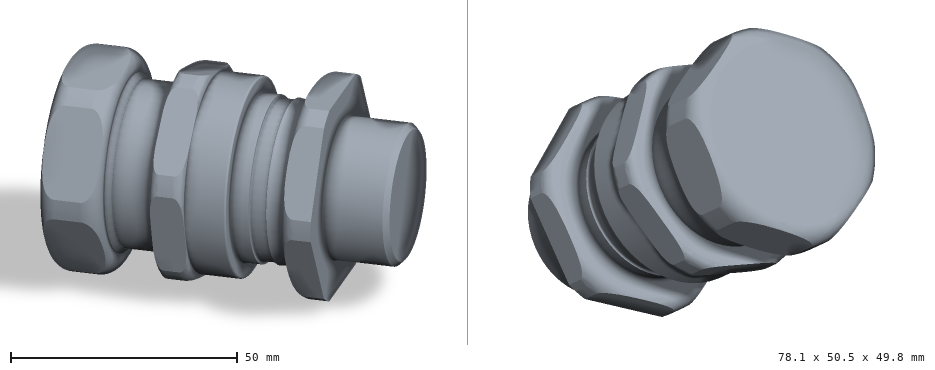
import cadquery as cq


ACROSS_FLATS = 46.0
CORNER_RADIUS = 50.5 / 2
CAP_HEX_TURN = -25.8
BODY_HEX_TURN = 15.0
ENTRY_HEX_TURN = 30.0

CAP_HEX_LENGTH = 14.1
CAP_ROUNDING = 4.05
CAP_COLLAR_RADIUS = 20.1
CAP_COLLAR_LENGTH = 0.15
CAP_CONE_LENGTH = 1.25
CAP_LIP_RADIUS = 19.0
CAP_LIP_LENGTH = 0.15
CAP_WALL = 4.7
CAP_CONE_START = CAP_HEX_LENGTH + CAP_COLLAR_LENGTH
CAP_END = CAP_CONE_START + CAP_CONE_LENGTH + CAP_LIP_LENGTH

NECK_RADIUS = 37.7 / 2
BODY_HEX_START = 25.6
BODY_HEX_END = 33.25
BODY_ROUNDING = 2.1
FLANGE_RADIUS = 45.2 / 2
FLANGE_END = 42.7
EDGE_ROUNDING = 0.5
COLLAR_RADIUS = 37.8 / 2
COLLAR_END = 46.7
ROOT_FILLET = 0.4

SHOULDER_END = 46.9
GROOVE_RADIUS = 36.2 / 2
GROOVE_END = 50.9
CONE_BIG_RADIUS = 18.65
CONE_SMALL_RADIUS = 35.9 / 2
CONE_END = 54.95
CONE_ROOT_FILLET = 0.85
ENTRY_HEX_START = CONE_END + CONE_ROOT_FILLET
ENTRY_HEX_END = 63.0
ENTRY_ROUNDING = 3.05
THREAD_RADIUS = 32.0 / 2
THREAD_CHAMFER = 1.25
LENGTH = 78.05


def rod(start, end, radius):
    """Solid cylinder along X."""
    return cq.Workplane("YZ").workplane(offset=start).circle(radius).extrude(end - start)


def turned(outline):
    """Revolve a closed outline, drawn as X against radius, about the X axis."""
    return outline.close().revolve(360, (0, 0, 0), (1, 0, 0))


def hexagon(start, end, turn, rounded_ends, rounding):
    """Hexagon along X whose corners are cut by a cylinder with rounded rims."""
    blank = rod(start, end, CORNER_RADIUS).faces(rounded_ends).edges().fillet(rounding)
    prism = (
        cq.Workplane("YZ")
        .workplane(offset=start)
        .polygon(6, ACROSS_FLATS, circumscribed=True)
        .extrude(end - start)
        .rotate((0, 0, 0), (1, 0, 0), turn)
    )
    return blank.intersect(prism)


def make_cap_nut():
    hexagonal = hexagon(0, CAP_HEX_LENGTH, CAP_HEX_TURN, "<X or >X", CAP_ROUNDING)
    cone = turned(
        cq.Workplane("XY")
        .moveTo(CAP_WALL, 0)
        .lineTo(CAP_WALL, CAP_COLLAR_RADIUS)
        .lineTo(CAP_CONE_START, CAP_COLLAR_RADIUS)
        .lineTo(CAP_CONE_START + CAP_CONE_LENGTH, CAP_LIP_RADIUS)
        .lineTo(CAP_END, CAP_LIP_RADIUS)
        .lineTo(CAP_END, 0)
    )
    return hexagonal.union(cone).cut(rod(CAP_WALL, CAP_END, NECK_RADIUS))


def make_gland_body():
    neck = rod(CAP_WALL, BODY_HEX_START, NECK_RADIUS)
    hexagonal = hexagon(BODY_HEX_START, BODY_HEX_END, BODY_HEX_TURN, "<X or >X", BODY_ROUNDING)
    flange = rod(BODY_HEX_END, FLANGE_END, FLANGE_RADIUS).faces(">X").edges().fillet(EDGE_ROUNDING)
    collar = turned(
        cq.Workplane("XY")
        .moveTo(FLANGE_END, 0)
        .lineTo(FLANGE_END, COLLAR_RADIUS + ROOT_FILLET)
        .radiusArc((FLANGE_END + ROOT_FILLET, COLLAR_RADIUS), -ROOT_FILLET)
        .lineTo(COLLAR_END, COLLAR_RADIUS)
        .lineTo(COLLAR_END, 0)
    )
    return neck.union(hexagonal).union(flange).union(collar)


def make_entry():
    grooved_cone = turned(
        cq.Workplane("XY")
        .moveTo(COLLAR_END, 0)
        .lineTo(COLLAR_END, COLLAR_RADIUS)
        .lineTo(SHOULDER_END, COLLAR_RADIUS)
        .lineTo(SHOULDER_END, GROOVE_RADIUS + ROOT_FILLET)
        .radiusArc((SHOULDER_END + ROOT_FILLET, GROOVE_RADIUS), -ROOT_FILLET)
        .lineTo(GROOVE_END - ROOT_FILLET, GROOVE_RADIUS)
        .radiusArc((GROOVE_END, GROOVE_RADIUS + ROOT_FILLET), -ROOT_FILLET)
        .lineTo(GROOVE_END, CONE_BIG_RADIUS)
        .lineTo(CONE_END, CONE_SMALL_RADIUS)
        .radiusArc((ENTRY_HEX_START, CONE_SMALL_RADIUS + CONE_ROOT_FILLET), -CONE_ROOT_FILLET)
        .lineTo(ENTRY_HEX_START, 0)
    )
    hexagonal = hexagon(ENTRY_HEX_START, ENTRY_HEX_END, ENTRY_HEX_TURN, "<X", ENTRY_ROUNDING)
    thread = turned(
        cq.Workplane("XY")
        .moveTo(ENTRY_HEX_END, 0)
        .lineTo(ENTRY_HEX_END, THREAD_RADIUS + ROOT_FILLET)
        .radiusArc((ENTRY_HEX_END + ROOT_FILLET, THREAD_RADIUS), -ROOT_FILLET)
        .lineTo(LENGTH - THREAD_CHAMFER, THREAD_RADIUS)
        .lineTo(LENGTH, THREAD_RADIUS - THREAD_CHAMFER)
        .lineTo(LENGTH, 0)
    )
    return grooved_cone.union(hexagonal).union(thread)


cap_nut = make_cap_nut()
gland_body = make_gland_body()
entry = make_entry()

result = cq.Compound.makeCompound([cap_nut.val(), gland_body.val(), entry.val()])